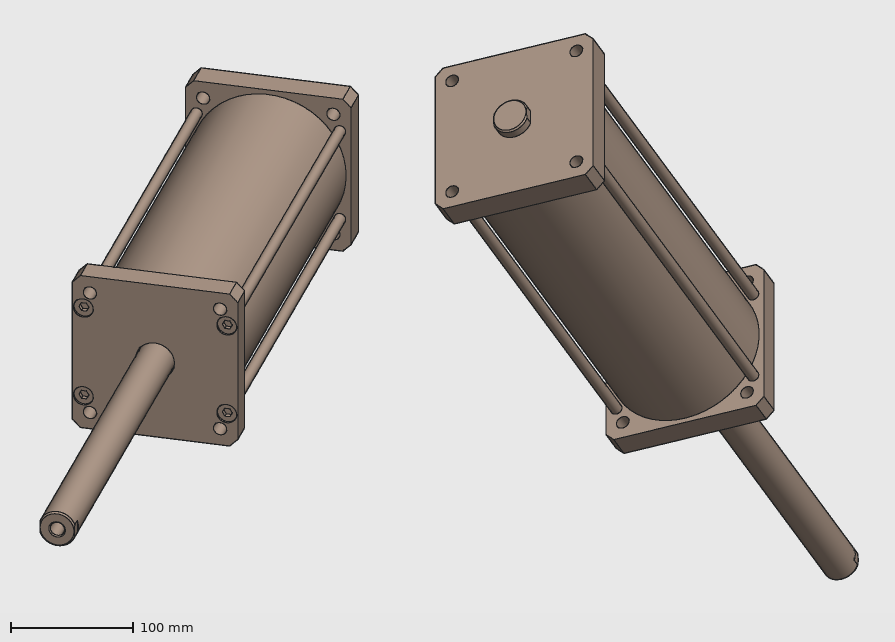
import cadquery as cq
import math

plate_side = 140.0
plate_corner_chamfer = 7.0
front_plate_thickness = 21.5
rear_plate_thickness = 24.0
mount_hole_diameter = 11.0
mount_hole_offset = 55.0

tube_diameter = 132.0
tube_length = 335.0

tie_rod_diameter = 10.0
tie_rod_x = 61.0
tie_rod_z = 40.5
tie_rod_engagement = 7.0
screw_recess_diameter = 17.0
screw_recess_depth = 2.0
hex_socket_corners = 8.5
hex_socket_depth = 4.0

rod_diameter = 31.5
rod_front_length = 308.5
rod_rear_length = 9.0
rod_end_chamfer = 1.5
flat_width = 29.0
flat_length = 9.0
bore_diameter = 33.0
bore_depth = 7.0

thread_diameter = 14.0
thread_core_diameter = 12.0
thread_depth = 28.0
drill_tip_angle = 118

tube_start = front_plate_thickness
tube_end = tube_start + tube_length
plates_end = tube_end + rear_plate_thickness
rod_start = -rod_front_length
rod_end = plates_end + rod_rear_length


def mirrored_points(x, z):
    """Four points mirrored about the two middle planes of the plates."""
    return [(sign_x * x, sign_z * z) for sign_x in (-1, 1) for sign_z in (-1, 1)]


def section_at(y):
    """Sketch plane across the cylinder axis that extrudes toward +Y."""
    return cq.Workplane(cq.Plane(origin=(0, y, 0), xDir=(1, 0, 0), normal=(0, 1, 0)))


def cylinders(diameter, start, end, points=((0, 0),)):
    """Round bars along Y from start to end, one at each point."""
    return section_at(start).pushPoints(list(points)).circle(diameter / 2).extrude(end - start)


def end_plate(start, thickness):
    """Square plate with chamfered corners and four mounting holes."""
    plate = section_at(start).rect(plate_side, plate_side).extrude(thickness)
    plate = plate.edges("|Y").chamfer(plate_corner_chamfer)
    hole_points = mirrored_points(mount_hole_offset, mount_hole_offset)
    return plate.cut(cylinders(mount_hole_diameter, start, start + thickness, hole_points))


def front_plate():
    """End plate with a rod bore and recessed hex sockets at the tie rods."""
    plate = end_plate(0, front_plate_thickness)
    plate = plate.cut(cylinders(bore_diameter, 0, bore_depth))
    plate = plate.cut(cylinders(screw_recess_diameter, 0, screw_recess_depth, tie_rod_points))
    sockets = (
        section_at(screw_recess_depth)
        .pushPoints(tie_rod_points)
        .polygon(6, hex_socket_corners)
        .extrude(hex_socket_depth)
    )
    return plate.cut(sockets)


def flats_cutter(start):
    """Material beside a pair of wrench flats that face -X and +X."""
    blank_side = 2 * rod_diameter
    blank = section_at(start).rect(blank_side, blank_side).extrude(flat_length)
    return blank.cut(section_at(start).rect(flat_width, blank_side).extrude(flat_length))


def threaded_hole():
    """Blind hole with a countersunk mouth and a conical drill tip."""
    core_radius = thread_core_diameter / 2
    mouth_radius = thread_diameter / 2
    tip_length = core_radius / math.tan(math.radians(drill_tip_angle / 2))
    profile = (
        cq.Workplane("XY", origin=(0, rod_start, 0))
        .lineTo(mouth_radius, 0)
        .lineTo(core_radius, mouth_radius - core_radius)
        .lineTo(core_radius, thread_depth)
        .lineTo(0, thread_depth + tip_length)
        .close()
    )
    return profile.revolve(360, (0, 0, 0), (0, 1, 0))


def piston_rod():
    """Chamfered through rod with flats at both ends and a threaded front end."""
    rod = cylinders(rod_diameter, rod_start, rod_end)
    rod = rod.faces("<Y or >Y").chamfer(rod_end_chamfer)
    for flats_start in (rod_start, rod_end - flat_length):
        rod = rod.cut(flats_cutter(flats_start))
    return rod.cut(threaded_hole())


tie_rod_points = mirrored_points(tie_rod_x, tie_rod_z)

result = front_plate()
result = result.union(cylinders(tube_diameter, tube_start, tube_end))
result = result.union(end_plate(tube_end, rear_plate_thickness))

for point in tie_rod_points:
    tie_rod = cylinders(
        tie_rod_diameter, tube_start - tie_rod_engagement, tube_end + tie_rod_engagement, [point]
    )
    result = result.union(tie_rod)

result = result.union(piston_rod())